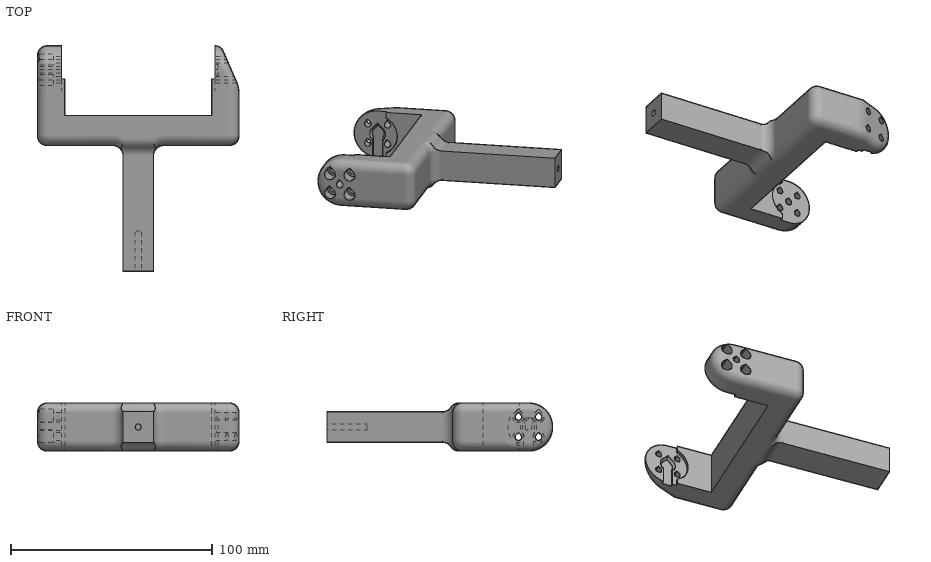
import cadquery as cq
import math

height = 24.0
arm_thickness = 12.0
hub_face_span = 76.2
hub_recess_depth = 1.6
hub_recess_radius = 10.25
hub_recess_start_y = -4.6
bar_inner_y = -22.7
bar_thickness = 15.0
overall_length = 112.2
stem_size = 15.24
edge_radius = 5.0

slant_tip_x = 41.0
slant_start_y = -8.8
slant_corner_radius = 15.0
slant_edge_radius = 4.2

screw_pitch = 10.0
screw_diameter = 3.2
screw_head_diameter = 5.5
screw_floor = 4.0
axle_diameter = 3.4

keyhole_radius = 4.0
keyhole_floor_radius = 3.0
keyhole_slot_width = 5.0
keyhole_depth = 1.5

stem_hole_diameter = 3.0
stem_hole_depth = 20.0

half_height = height / 2
half_stem = stem_size / 2
hub_face_x = hub_face_span / 2
gap_half_width = hub_face_x - hub_recess_depth
outer_x = hub_face_x + arm_thickness
tip_y = half_height
bar_outer_y = bar_inner_y - bar_thickness
neck_end_y = bar_outer_y - edge_radius
stem_end_y = tip_y - overall_length

tolerance = 0.01


def box_between(x_range, y_range, z_range):
    """Axis-aligned box given by its limits along X, Y and Z."""
    sizes = [limits[1] - limits[0] for limits in (x_range, y_range, z_range)]
    corner = (x_range[0], y_range[0], z_range[0])
    return cq.Workplane("XY").box(*sizes, centered=False).translate(corner)


def extrude_along_x(profile, x_start, x_end):
    """Extrude a closed YZ profile between two X positions."""
    return profile.extrude(x_end - x_start).translate((x_start, 0, 0))


def teardrop_outline(plane, radius):
    """Closed outline with a round underside and a 45 degree peak on top."""
    shoulder = radius * math.sqrt(0.5)
    return (
        plane.moveTo(-shoulder, shoulder)
        .threePointArc((0, -radius), (shoulder, shoulder))
        .lineTo(0, 2 * shoulder)
        .close()
    )


def teardrop(radius, y, z, x_start, x_end):
    """Teardrop bar along X centred on the given Y and Z."""
    profile = teardrop_outline(cq.Workplane("YZ"), radius)
    return extrude_along_x(profile, x_start, x_end).translate((0, y, z))


def capped_block(outline):
    """Extrude an XY outline to the full height and round its +Y end about the hub axis."""
    side = (
        cq.Workplane("YZ")
        .moveTo(stem_end_y, half_height)
        .lineTo(0, half_height)
        .threePointArc((tip_y, 0), (0, -half_height))
        .lineTo(stem_end_y, -half_height)
        .close()
    )
    block = outline.extrude(height).translate((0, 0, -half_height))
    return block.intersect(extrude_along_x(side, -outer_x, outer_x))


def is_rim(edge):
    """True for edges around the upper, lower and tip outline of a capped block."""
    middle = edge.positionAt(0.5)
    is_line = edge.geomType() == "LINE"
    upright = is_line and abs(middle.z) < tolerance
    cap_seam = is_line and abs(middle.y) < tolerance
    at_stem_end = middle.y < stem_end_y + tolerance
    return not (upright or cap_seam or at_stem_end)


def round_rim(block, radius, min_x):
    """Fillet the rim edges whose middle lies beyond the given X."""
    rim = [edge for edge in block.edges().vals() if is_rim(edge) and edge.positionAt(0.5).x > min_x]
    return block.newObject(rim).fillet(radius)


def rounded_blank():
    """T-shaped block, still without the gap, with all outer edges rounded."""
    outline = (
        cq.Workplane("XY")
        .moveTo(-outer_x, tip_y)
        .lineTo(-outer_x, bar_outer_y)
        .lineTo(-half_stem, bar_outer_y)
        .lineTo(-half_stem, stem_end_y)
        .lineTo(half_stem, stem_end_y)
        .lineTo(half_stem, bar_outer_y)
        .lineTo(outer_x, bar_outer_y)
        .lineTo(outer_x, tip_y)
        .close()
    )
    bar_corners = cq.selectors.BoxSelector(
        (-outer_x - tolerance, bar_outer_y - tolerance, -half_height),
        (outer_x + tolerance, bar_outer_y + tolerance, half_height),
    )
    block = capped_block(outline).edges("|Z").edges(bar_corners).fillet(edge_radius)
    return round_rim(block, edge_radius, -outer_x - tolerance)


def slant_envelope():
    """Block whose rounded right side slants inwards towards the tip of the right arm."""
    outline = (
        cq.Workplane("XY")
        .moveTo(-outer_x, tip_y)
        .lineTo(-outer_x, stem_end_y)
        .lineTo(outer_x, stem_end_y)
        .lineTo(outer_x, slant_start_y)
        .lineTo(slant_tip_x, tip_y)
        .close()
    )
    slant_corner = cq.selectors.NearestToPointSelector((outer_x, slant_start_y, 0))
    block = capped_block(outline).edges("|Z").edges(slant_corner).fillet(slant_corner_radius)
    return round_rim(block, slant_edge_radius, hub_face_x)


def neck_envelope():
    """Side shape that blends the full height down to the stem in an S curve."""
    concave_z = half_stem + edge_radius
    convex_z = half_height - edge_radius
    centre_rise = concave_z - convex_z
    centre_run = math.sqrt((2 * edge_radius) ** 2 - centre_rise ** 2)
    convex_y = neck_end_y + centre_run
    bend_y = (neck_end_y + convex_y) / 2
    bend_z = (concave_z + convex_z) / 2
    half = (
        cq.Workplane("YZ")
        .moveTo(stem_end_y, 0)
        .lineTo(stem_end_y, half_stem)
        .lineTo(neck_end_y, half_stem)
        .radiusArc((bend_y, bend_z), -edge_radius)
        .radiusArc((convex_y, half_height), edge_radius)
        .lineTo(tip_y, half_height)
        .lineTo(tip_y, 0)
        .close()
    )
    upper = extrude_along_x(half, -outer_x, outer_x)
    return upper.union(upper.mirror("XY"))


def stem():
    """Square stem running back from the bar."""
    half_range = (-half_stem, half_stem)
    return box_between(half_range, (stem_end_y, neck_end_y), half_range)


def gap():
    """Opening between the arms with a round recess at both hub faces."""
    half_range = (-half_height, half_height)
    opening = box_between((-gap_half_width, gap_half_width), (bar_inner_y, tip_y), half_range)
    disc = cq.Workplane("YZ").circle(hub_recess_radius)
    recess = extrude_along_x(disc, -hub_face_x, hub_face_x)
    tip_recess = box_between((-hub_face_x, hub_face_x), (hub_recess_start_y, tip_y), half_range)
    return opening.union(recess).union(tip_recess)


def screw_holes():
    """Four through holes in both arms with head pockets in the left arm."""
    offset = screw_pitch / 2
    cutters = teardrop(axle_diameter / 2, 0, 0, -outer_x, -hub_face_x)
    for y in (-offset, offset):
        for z in (-offset, offset):
            shank = teardrop(screw_diameter / 2, y, z, -outer_x, outer_x)
            head = teardrop(screw_head_diameter / 2, y, z, -outer_x, -hub_face_x - screw_floor)
            cutters = cutters.union(shank).union(head)
    return cutters


def keyhole_pocket():
    """Tapered teardrop pocket in the right hub face with a slot down to the underside."""
    floor_x = hub_face_x + keyhole_depth
    half_slot = keyhole_slot_width / 2
    slot = box_between((hub_face_x, floor_x), (-half_slot, half_slot), (-half_height, 0))
    mouth = teardrop_outline(cq.Workplane("YZ", origin=(hub_face_x, 0, 0)), keyhole_radius)
    floor_plane = mouth.workplane(offset=keyhole_depth, origin=(floor_x, 0, 0))
    pocket = teardrop_outline(floor_plane, keyhole_floor_radius).loft(ruled=True)
    return pocket.union(slot)


def stem_hole():
    """Blind round hole along the stem axis."""
    end_face = cq.Workplane("XZ", origin=(0, stem_end_y, 0))
    return end_face.circle(stem_hole_diameter / 2).extrude(-stem_hole_depth)


body = rounded_blank().intersect(slant_envelope()).intersect(neck_envelope()).union(stem())
result = body.cut(gap()).cut(screw_holes()).cut(keyhole_pocket()).cut(stem_hole())